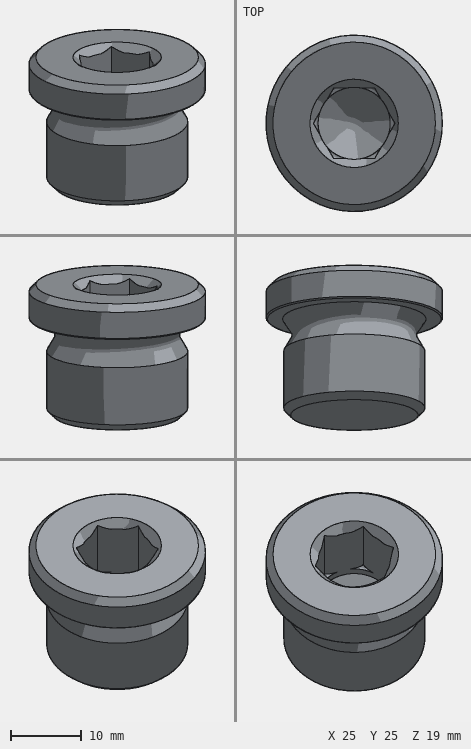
import cadquery as cq
import math

total_height = 19.0
head_diameter = 25.0
head_height = 5.0
head_top_chamfer = 1.0
head_bottom_chamfer = 0.2
shank_diameter = 20.0
shank_chamfer = 1.0

neck_diameter = 17.7
groove_radius = 1.25
groove_depth_below_head = 2.35
upper_flank_angle = 33.5
lower_flank_angle = 30.0

hex_across_flats = 10.0
hex_depth = 9.0
hex_floor_diameter = 11.6
hex_floor_fillet = 0.5
mouth_diameter = 12.5
mouth_cone_angle = 90.0
drill_diameter = 10.2
drill_depth = 10.0
drill_point_angle = 118.0

head_radius = head_diameter / 2
head_underside = total_height - head_height
shank_radius = shank_diameter / 2


def make_body():
    """Revolve the outer profile, including the groove under the head."""
    upper_angle = math.radians(upper_flank_angle)
    lower_angle = math.radians(lower_flank_angle)
    neck_radius = neck_diameter / 2
    neck_z = head_underside - groove_depth_below_head
    arc_center_r = neck_radius + groove_radius

    upper_tangent_r = arc_center_r - groove_radius * math.cos(upper_angle)
    upper_tangent_z = neck_z + groove_radius * math.sin(upper_angle)
    lower_tangent_r = arc_center_r - groove_radius * math.cos(lower_angle)
    lower_tangent_z = neck_z - groove_radius * math.sin(lower_angle)

    upper_end_r = upper_tangent_r + (head_underside - upper_tangent_z) * math.tan(upper_angle)
    lower_end_z = lower_tangent_z - (shank_radius - lower_tangent_r) / math.tan(lower_angle)

    return (
        cq.Workplane("XZ")
        .moveTo(0, 0)
        .lineTo(shank_radius - shank_chamfer, 0)
        .lineTo(shank_radius, shank_chamfer)
        .lineTo(shank_radius, lower_end_z)
        .lineTo(lower_tangent_r, lower_tangent_z)
        .threePointArc((neck_radius, neck_z), (upper_tangent_r, upper_tangent_z))
        .lineTo(upper_end_r, head_underside)
        .lineTo(head_radius - head_bottom_chamfer, head_underside)
        .lineTo(head_radius, head_underside + head_bottom_chamfer)
        .lineTo(head_radius, total_height - head_top_chamfer)
        .lineTo(head_radius - head_top_chamfer, total_height)
        .lineTo(0, total_height)
        .close()
        .revolve(360, (0, 0), (0, 1))
    )


def make_hex_socket():
    """Hexagonal prism, corners on the X axis, with its floor corners rounded by a turned form."""
    floor_z = total_height - hex_depth
    across_corners = hex_across_flats / math.cos(math.radians(30))
    prism = (
        cq.Workplane("XY")
        .workplane(offset=floor_z)
        .polygon(6, across_corners)
        .extrude(hex_depth)
    )
    turned_form = (
        cq.Workplane("XY")
        .workplane(offset=floor_z)
        .circle(hex_floor_diameter / 2)
        .extrude(hex_depth)
        .faces("<Z")
        .edges()
        .fillet(hex_floor_fillet)
    )
    return prism.intersect(turned_form)


def make_turned_hole():
    """Pilot drill hole with its conical point, opened by the countersunk mouth."""
    mouth_radius = mouth_diameter / 2
    drill_radius = drill_diameter / 2
    mouth_depth = (mouth_radius - drill_radius) / math.tan(math.radians(mouth_cone_angle / 2))
    point_length = drill_radius / math.tan(math.radians(drill_point_angle / 2))
    drill_end_z = total_height - drill_depth
    return (
        cq.Workplane("XZ")
        .moveTo(0, total_height)
        .lineTo(mouth_radius, total_height)
        .lineTo(drill_radius, total_height - mouth_depth)
        .lineTo(drill_radius, drill_end_z)
        .lineTo(0, drill_end_z - point_length)
        .close()
        .revolve(360, (0, 0), (0, 1))
    )


result = make_body().cut(make_hex_socket()).cut(make_turned_hole())